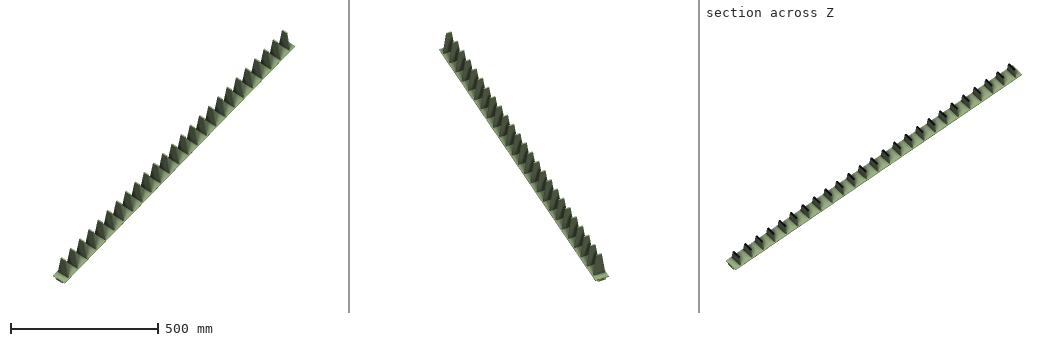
import cadquery as cq

total_height = 100.0
length = 1270.0
strip_width = 51.0
strip_thickness = 3.2

flange_width = 30.0
flange_thickness = 5.0
stem_width = 13.0
stem_height = 3.0

fin_count = 25
fin_pitch = length / fin_count
fin_thickness = 4.8
fin_base_width = 45.0
fin_tip_width = 19.0

strip_bottom = flange_thickness + stem_height
strip_top = strip_bottom + strip_thickness


def make_bar(width, height, z_bottom):
    """A full-length rectangular bar whose underside sits at z_bottom."""
    bar = cq.Workplane("XY").box(width, length, height, centered=(True, True, False))
    return bar.translate((0, 0, z_bottom))


def make_fin(y_center):
    """An upright trapezoidal plate rising from the strip, centred at y_center."""
    outline = [
        (-fin_base_width / 2, strip_top),
        (fin_base_width / 2, strip_top),
        (fin_tip_width / 2, total_height),
        (-fin_tip_width / 2, total_height),
    ]
    fin = cq.Workplane("XZ").polyline(outline).close().extrude(fin_thickness / 2, both=True)
    return fin.translate((0, y_center, 0))


flange = make_bar(flange_width, flange_thickness, 0)
stem = make_bar(stem_width, stem_height, flange_thickness)
strip = make_bar(strip_width, strip_thickness, strip_bottom)

result = flange.union(stem).union(strip)
for index in range(fin_count):
    fin_y = (index - (fin_count - 1) / 2) * fin_pitch
    result = result.union(make_fin(fin_y))